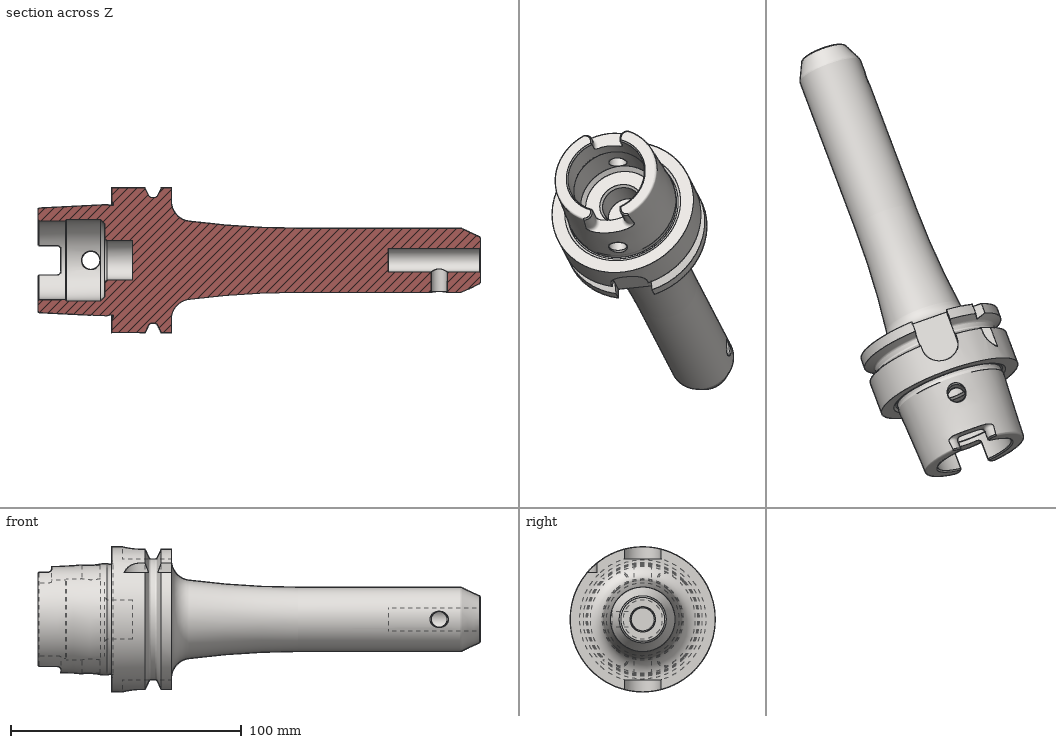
import cadquery as cq
import math


taper_length = 32.0
gauge_radius = 24.0
gauge_distance = 6.3
taper_slope = 0.05
taper_tip_fillet = 0.9
relief_start = 2.0
relief_radius = 23.9
relief_taper = 1.2

recess_depth = 0.7
recess_floor_radius = 24.6
recess_mouth_radius = 25.8

flange_radius = 31.5
flange_width = 26.0
groove_center = 18.0
groove_mouth_width = 7.0
groove_bottom_radius = 27.4
groove_bottom_width = 3.0
groove_fillet = 1.0

holder_length = 160.0
shank_radius = 14.0
neck_end = 81.0
neck_arc_radius = 370.0
neck_fillet = 8.5
tip_cone_length = 8.5
tip_radius = 10.0
tip_chamfer = 0.5
tip_shoulder_fillet = 1.5

bore_radius = 17.0
bore_chamfer = 0.6
bore_lip_length = 12.0
undercut_radius = 17.6
undercut_angle = 60.0
bore_floor_x = -3.0
bore_floor_radius = 15.8
center_hole_radius = 8.5
center_hole_chamfer = 1.0
center_hole_depth = 12.0

notch_half_width = 6.27
notch_shoulder_height = 20.5
notch_shoulder_radius = 3.0
notch_floor_fillet = 1.6
notch_chamfer = 0.6
upper_notch_depth = 6.0
lower_notch_depth = 10.0

cross_hole_x = -9.0
cross_hole_radius = 3.9
cross_hole_chamfer = 0.5

slot_width = 16.0
slot_start = 4.7
slot_floor_height = 26.2

rim_notch_floor_height = 20.3
rim_notch_wall_distance = 19.9
rim_notch_corner_radius = 8.0
rim_notch_corner_x = 12.5

tool_bore_radius = 5.0
tool_bore_depth = 40.0
tool_bore_chamfer = 0.5
screw_hole_x = holder_length - 18.0
screw_hole_radius = 3.4
screw_hole_chamfer = 0.6


def taper_radius(x):
    """Radius of the taper at station x."""
    return gauge_radius + taper_slope * (x + gauge_distance)


def revolve_about_x(profile):
    return profile.close().revolve(360, (0, 0, 0), (1, 0, 0))


def turned_body():
    """Solid of revolution: taper, flange, curved neck and shank."""
    arc_center_r = shank_radius + neck_arc_radius
    fillet_center_x = flange_width + neck_fillet
    lean = math.asin((neck_end - fillet_center_x) / (neck_arc_radius - neck_fillet))
    fillet_center_r = arc_center_r - (neck_arc_radius - neck_fillet) * math.cos(lean)
    joint_x = neck_end - neck_arc_radius * math.sin(lean)
    joint_r = arc_center_r - neck_arc_radius * math.cos(lean)
    arc_mid_x = neck_end - neck_arc_radius * math.sin(lean / 2)
    arc_mid_r = arc_center_r - neck_arc_radius * math.cos(lean / 2)
    fillet_mid_angle = (math.pi / 2 + lean) / 2
    fillet_mid_x = fillet_center_x - neck_fillet * math.sin(fillet_mid_angle)
    fillet_mid_r = fillet_center_r - neck_fillet * math.cos(fillet_mid_angle)

    profile = (
        cq.Workplane("XY")
        .moveTo(-taper_length, 0)
        .lineTo(-taper_length, taper_radius(-taper_length))
        .lineTo(-relief_start, taper_radius(-relief_start))
        .lineTo(-relief_start + relief_taper, relief_radius)
        .lineTo(recess_depth, relief_radius)
        .lineTo(recess_depth, recess_floor_radius)
        .lineTo(0, recess_mouth_radius)
        .lineTo(0, flange_radius)
        .lineTo(flange_width, flange_radius)
        .lineTo(flange_width, fillet_center_r)
        .threePointArc((fillet_mid_x, fillet_mid_r), (joint_x, joint_r))
        .threePointArc((arc_mid_x, arc_mid_r), (neck_end, shank_radius))
        .lineTo(holder_length - tip_cone_length, shank_radius)
        .lineTo(holder_length, tip_radius)
        .lineTo(holder_length, 0)
    )
    body = revolve_about_x(profile)
    body = body.faces("<X").edges().fillet(taper_tip_fillet)
    shoulder_x = holder_length - tip_cone_length
    shoulder_zone = cq.selectors.BoxSelector(
        (shoulder_x - 1, -flange_radius, -flange_radius),
        (shoulder_x + 1, flange_radius, flange_radius),
    )
    body = body.edges(shoulder_zone).edges("%CIRCLE").fillet(tip_shoulder_fillet)
    return body.faces(">X").edges().chamfer(tip_chamfer)


def gripper_groove():
    """V-shaped ring groove with a rounded, flat bottom."""
    half_mouth = groove_mouth_width / 2
    half_bottom = groove_bottom_width / 2
    profile = (
        cq.Workplane("XY")
        .moveTo(groove_center - half_mouth, flange_radius)
        .lineTo(groove_center - half_bottom, groove_bottom_radius)
        .lineTo(groove_center + half_bottom, groove_bottom_radius)
        .lineTo(groove_center + half_mouth, flange_radius)
    )
    ring = revolve_about_x(profile)
    bottom_edges = cq.selectors.RadiusNthSelector(0)
    return ring.edges(bottom_edges).fillet(groove_fillet)


def clamping_bore():
    """Bore open at the taper end, widened behind its lip, with a hole in its floor."""
    mouth_x = -taper_length
    lip_end_x = mouth_x + bore_lip_length
    undercut_run = (undercut_radius - bore_radius) / math.tan(math.radians(undercut_angle))
    floor_bevel = undercut_radius - bore_floor_radius
    hole_mouth_radius = center_hole_radius + center_hole_chamfer
    profile = (
        cq.Workplane("XY")
        .moveTo(mouth_x, 0)
        .lineTo(mouth_x, bore_radius + bore_chamfer)
        .lineTo(mouth_x + bore_chamfer, bore_radius)
        .lineTo(lip_end_x, bore_radius)
        .lineTo(lip_end_x + undercut_run, undercut_radius)
        .lineTo(bore_floor_x - floor_bevel, undercut_radius)
        .lineTo(bore_floor_x, bore_floor_radius)
        .lineTo(bore_floor_x, hole_mouth_radius)
        .lineTo(bore_floor_x + center_hole_chamfer, center_hole_radius)
        .lineTo(bore_floor_x + center_hole_depth, center_hole_radius)
        .lineTo(bore_floor_x + center_hole_depth, 0)
    )
    return revolve_about_x(profile)


def chamfered_hole(mouth, direction, radius, depth, chamfer):
    """Round cutter from its mouth point along direction, with a 45 degree mouth chamfer."""
    start = cq.Vector(*mouth)
    axis = cq.Vector(*direction)
    drill = cq.Solid.makeCylinder(radius, depth, start, axis)
    outside = start - axis * chamfer
    countersink = cq.Solid.makeCone(radius + 2 * chamfer, radius, 2 * chamfer, outside, axis)
    return cq.Workplane(drill.fuse(countersink))


def notch_outline(plane, growth):
    """Notch cross-section on the plane, widened by growth on every side."""
    rounding = notch_shoulder_radius - growth
    wall_y = notch_half_width + growth
    shoulder_z = notch_shoulder_height - growth
    arc_center_y = wall_y + rounding
    arc_center_z = shoulder_z - rounding
    mid_y = arc_center_y - rounding * math.sqrt(0.5)
    mid_z = arc_center_z + rounding * math.sqrt(0.5)
    outer = gauge_radius + growth
    return (
        plane.moveTo(-wall_y, 0)
        .lineTo(-wall_y, arc_center_z)
        .threePointArc((-mid_y, mid_z), (-arc_center_y, shoulder_z))
        .lineTo(-outer, shoulder_z)
        .lineTo(-outer, outer)
        .lineTo(outer, outer)
        .lineTo(outer, shoulder_z)
        .lineTo(arc_center_y, shoulder_z)
        .threePointArc((mid_y, mid_z), (wall_y, arc_center_z))
        .lineTo(wall_y, 0)
        .close()
    )


def drive_notch(depth):
    """Cutter for a notch on the +Z side whose walls round over into flat shoulders."""
    end_plane = cq.Workplane("YZ", origin=(-taper_length, 0, 0))
    notch = notch_outline(end_plane, 0).extrude(depth)
    notch = notch.faces(">X").edges().fillet(notch_floor_fillet)
    wide_outline = notch_outline(cq.Workplane(end_plane.plane), notch_chamfer)
    bevel = notch_outline(wide_outline.workplane(offset=notch_chamfer), 0).loft(ruled=True)
    return notch.union(bevel)


def cross_hole_half():
    """Hole along Z through the upper wall of the taper, chamfered at the outside."""
    mouth = (cross_hole_x, 0, taper_radius(cross_hole_x))
    return chamfered_hole(mouth, (0, 0, -1), cross_hole_radius, gauge_radius, cross_hole_chamfer)


def flange_slot():
    """Cutter for a round-ended slot on the +Z side, open toward the shank."""
    end_center_x = slot_start + slot_width / 2
    length = flange_width - end_center_x
    height = flange_radius - slot_floor_height
    base = cq.Workplane("XY", origin=(end_center_x, 0, slot_floor_height))
    round_end = base.circle(slot_width / 2).extrude(height)
    straight = base.center(length / 2, 0).rect(length, slot_width).extrude(height)
    return straight.union(round_end)


def rim_notch():
    """Cutter for the right-angled notch at the -Y, +Z rim, rounded at its closed corner."""
    radius = rim_notch_corner_radius
    outer_y = -rim_notch_wall_distance - radius
    diagonal = radius * math.sqrt(0.5)
    return (
        cq.Workplane("XY", origin=(0, 0, rim_notch_floor_height))
        .moveTo(flange_width, -rim_notch_wall_distance)
        .lineTo(rim_notch_corner_x, -rim_notch_wall_distance)
        .threePointArc(
            (rim_notch_corner_x - diagonal, outer_y + diagonal),
            (rim_notch_corner_x - radius, outer_y),
        )
        .lineTo(flange_width, outer_y)
        .close()
        .extrude(flange_radius - rim_notch_floor_height)
    )


def tool_bore():
    """Blind bore for the tool, entering at the shank tip."""
    mouth = (holder_length, 0, 0)
    return chamfered_hole(mouth, (-1, 0, 0), tool_bore_radius, tool_bore_depth, tool_bore_chamfer)


def screw_hole():
    """Radial hole from the -Y side into the tool bore, chamfered at its mouth."""
    mouth = (screw_hole_x, -shank_radius, 0)
    return chamfered_hole(mouth, (0, 1, 0), screw_hole_radius, shank_radius, screw_hole_chamfer)


def mirrored_below(cutter):
    return cutter.mirror("XY")


result = turned_body()
result = result.cut(gripper_groove())
result = result.cut(clamping_bore())
result = result.cut(drive_notch(upper_notch_depth))
result = result.cut(mirrored_below(drive_notch(lower_notch_depth)))
result = result.cut(cross_hole_half())
result = result.cut(mirrored_below(cross_hole_half()))
result = result.cut(flange_slot())
result = result.cut(mirrored_below(flange_slot()))
result = result.cut(rim_notch())
result = result.cut(tool_bore())
result = result.cut(screw_hole())